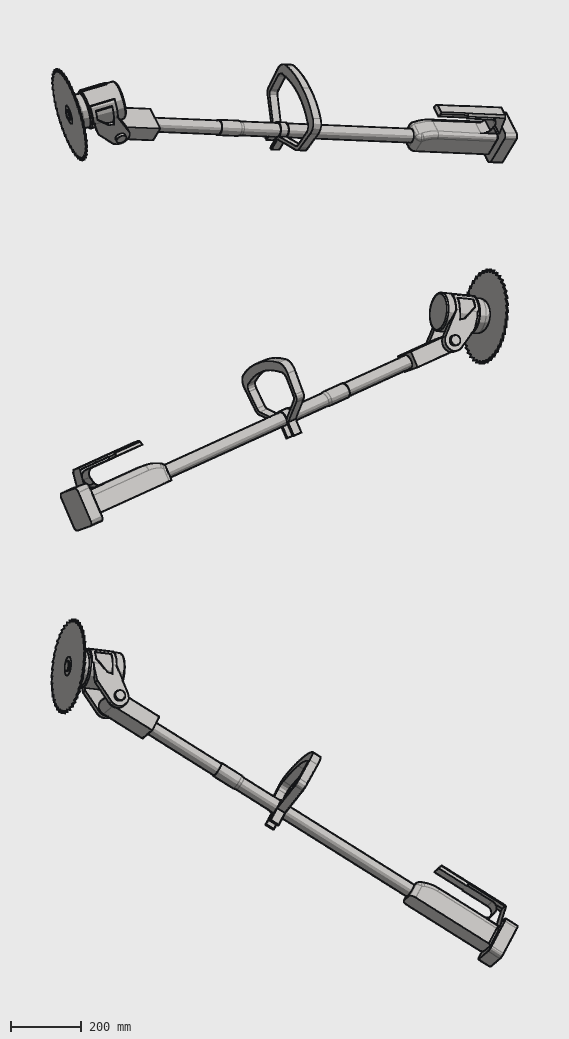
import cadquery as cq
import math


POLE_SLOPE = 26.6
POLE_DROP = 3.0

POLE_DIA = 40.0
POLE_FRONT = 133.0
POLE_BACK = 1010.0
COLLAR_DIA = 45.0
COLLAR_FRONT = 358.0
COLLAR_BACK = 433.0
COLLAR_TAPER = 10.0

NECK_WIDTH = 78.0
NECK_HEIGHT = 48.0
PIN_DIA = 30.0
PIN_LENGTH = 135.0
FORK_WIDTH = 116.0

SAW_AXIS_UP = 92.0
MOTOR_DIA = 110.0
MOTOR_REAR = -20.0
MOTOR_FRONT = 87.0
MOTOR_EDGE = 4.0
NOSE_DIA = 100.0
NOSE_ROUND = 23.0
PAD_REAR = 7.0
PAD_FRONT = 81.0
PAD_GAP = 59.0

BLADE_DIA = 269.0
BLADE_ROOT_DIA = 253.0
BLADE_REAR = 129.0
BLADE_THICK = 4.0
TOOTH_COUNT = 40
FLANGE_DIA = 54.0
SPINDLE_DIA = 30.0
SPINDLE_PROUD = 4.0

LOOP_FRONT = 557.0
LOOP_THICK = 27.0
LOOP_LEG_BOTTOM = -59.0
LOOP_CLAMP_WIDTH = 46.0
LOOP_LEG_GAP = 30.0

GRIP_BACK = 1281.0
GRIP_WIDTH = 70.0
GRIP_BOTTOM = -30.0
GRIP_TOP = 40.0
GRIP_ROUND = 16.0
NOSE_START = 1073.0
NOSE_TOP = 20.0
BACK_EDGE = 8.0

HOOK_WIDTH = 43.0
HOOK_TIP_WIDTH = 36.0
HOOK_TIP = 1048.0
HOOK_TIP_LEAN = 4.0
HOOK_STEP = 1144.0
HOOK_TOP = 110.0
HOOK_UNDER = 95.0
HOOK_LEAN = 12.0
HOOK_EDGE = 7.0
HOOK_TIP_EDGE = 4.0

BATTERY_LENGTH = 40.0
BATTERY_WIDTH = 102.0
BATTERY_BOTTOM = -52.0
BATTERY_TOP = 63.0
BATTERY_ROUND = 13.0


def tilted(body):
    """Swing a body built on the level pole frame down to the slope of the pole."""
    return body.rotate((0, 0, 0), (1, 0, 0), -POLE_SLOPE)


def side_profile(width):
    """Sketch plane at -width/2 in which x is back, y is up and extrusion runs to +X."""
    return cq.Workplane("YZ", origin=(-width / 2, 0, 0))


def lathe_along_pole(dia, front, back):
    """Cylinder on the pole axis between two distances back from the pivot."""
    return (
        cq.Workplane("XZ", origin=(0, front, -POLE_DROP))
        .circle(dia / 2)
        .extrude(front - back)
    )


def saw_disc(dia, rear, front):
    """Cylinder on the saw axis between two distances ahead of the pivot."""
    return (
        cq.Workplane("XZ", origin=(0, -rear, SAW_AXIS_UP))
        .circle(dia / 2)
        .extrude(front - rear)
    )


def make_pole():
    rod = lathe_along_pole(POLE_DIA, POLE_FRONT, POLE_BACK)
    collar = (
        cq.Workplane("XY", origin=(0, 0, -POLE_DROP))
        .moveTo(0, COLLAR_FRONT)
        .lineTo(COLLAR_DIA / 2, COLLAR_FRONT)
        .lineTo(COLLAR_DIA / 2, COLLAR_BACK - COLLAR_TAPER)
        .lineTo(POLE_DIA / 2, COLLAR_BACK)
        .lineTo(0, COLLAR_BACK)
        .close()
        .revolve(360, (0, 0, 0), (0, 1, 0))
    )
    return tilted(rod.union(collar))


def make_pin():
    return side_profile(PIN_LENGTH).circle(PIN_DIA / 2).extrude(PIN_LENGTH)


def make_neck():
    """Square bar with a rounded front end that turns on the pin."""
    half = NECK_HEIGHT / 2
    bar = (
        side_profile(NECK_WIDTH)
        .moveTo(POLE_FRONT, -POLE_DROP - half)
        .lineTo(POLE_FRONT, -POLE_DROP + half)
        .lineTo(0, -POLE_DROP + half)
        .threePointArc((-half, -POLE_DROP), (0, -POLE_DROP - half))
        .close()
        .extrude(NECK_WIDTH)
    )
    return tilted(bar).cut(make_pin())


def make_fork():
    """Two flat arms from the pin up to the widest line of the motor."""
    rear_top = (-8.0, SAW_AXIS_UP)
    front_top = (-77.0, SAW_AXIS_UP)
    front_side = (-75.0, SAW_AXIS_UP - 12.0)
    front_bend = (-66.0, SAW_AXIS_UP - 52.0)
    front_tangent = (-24.0, -17.0)
    rear_tangent = (27.0, 11.0)
    heel = (12.0, -27.0)
    arms = (
        side_profile(FORK_WIDTH)
        .polyline([rear_top, front_top, front_side, front_bend, front_tangent])
        .threePointArc(heel, rear_tangent)
        .close()
        .extrude(FORK_WIDTH)
    )
    reach = 3 * SAW_AXIS_UP
    gap = cq.Workplane("XY").box(NECK_WIDTH, reach, reach)
    return arms.cut(gap).cut(make_pin())


def make_pads():
    """Raised side panels on the upper half of the motor, flush with the fork arms."""
    ring = saw_disc(FORK_WIDTH, PAD_REAR, PAD_FRONT)
    upper = cq.Workplane("XY", origin=(0, 0, SAW_AXIS_UP)).box(
        FORK_WIDTH, 4 * PAD_FRONT, FORK_WIDTH, centered=(True, True, False)
    )
    strip = cq.Workplane("XY", origin=(0, 0, SAW_AXIS_UP)).box(
        PAD_GAP, 4 * PAD_FRONT, 2 * FORK_WIDTH
    )
    return ring.intersect(upper).cut(strip)


def make_motor_head():
    """Motor barrel, nose and spindle in one piece with the pads and fork arms."""
    barrel = saw_disc(MOTOR_DIA, MOTOR_REAR, MOTOR_FRONT).edges().chamfer(MOTOR_EDGE)
    nose = saw_disc(NOSE_DIA, MOTOR_FRONT, BLADE_REAR).faces("<Y").edges().fillet(NOSE_ROUND)
    blade_front = BLADE_REAR + BLADE_THICK
    flange = saw_disc(FLANGE_DIA, BLADE_REAR, blade_front)
    spindle = saw_disc(SPINDLE_DIA, blade_front, blade_front + SPINDLE_PROUD)
    shell = make_fork().union(make_pads())
    window_corners = [(-19.0, 36.0), (-69.0, 36.0), (-69.0, 12.0), (-59.0, 3.0), (-35.0, -24.0), (-19.0, -28.0)]
    window = (
        cq.Workplane("YZ", origin=(-PIN_LENGTH / 2, 0, SAW_AXIS_UP))
        .polyline(window_corners)
        .close()
        .extrude(PIN_LENGTH)
    )
    return shell.cut(window).union(barrel).union(nose).union(flange).union(spindle)


def make_blade():
    """Saw disc whose teeth each rise steeply and slope back to the next root."""
    pitch = 2 * math.pi / TOOTH_COUNT
    points = []
    for tooth in range(TOOTH_COUNT):
        angle = (tooth + 0.5) * pitch
        for radius in (BLADE_ROOT_DIA / 2, BLADE_DIA / 2):
            points.append((radius * math.sin(angle), radius * math.cos(angle)))
    return (
        cq.Workplane("XZ", origin=(0, -BLADE_REAR, SAW_AXIS_UP))
        .polyline(points)
        .close()
        .circle(FLANGE_DIA / 2)
        .extrude(BLADE_THICK)
    )


def make_loop_handle():
    """Closed loop across the pole with a clamp ring and two legs below it."""
    plane = cq.Workplane("XZ", origin=(0, LOOP_FRONT, 0))
    outer = (
        plane.moveTo(0, 170.0)
        .threePointArc((54.0, 165.0), (104.0, 152.0))
        .threePointArc((122.0, 137.0), (128.0, 115.0))
        .lineTo(121.0, 51.0)
        .threePointArc((118.0, 38.0), (110.0, 30.0))
        .lineTo(0, -30.0)
        .close()
        .extrude(-LOOP_THICK)
    )
    inner = (
        plane.moveTo(0, 143.0)
        .threePointArc((51.0, 137.0), (94.0, 124.0))
        .threePointArc((108.0, 116.0), (112.0, 102.0))
        .lineTo(108.0, 50.0)
        .threePointArc((106.0, 43.0), (102.0, 38.0))
        .lineTo(0, -19.0)
        .close()
        .extrude(-LOOP_THICK)
    )
    half = outer.cut(inner)
    ring = lathe_along_pole(LOOP_CLAMP_WIDTH, LOOP_FRONT, LOOP_FRONT + LOOP_THICK)
    leg_height = -LOOP_LEG_BOTTOM - POLE_DROP
    leg_base = cq.Workplane("XY", origin=(0, LOOP_FRONT, LOOP_LEG_BOTTOM))
    legs = leg_base.box(LOOP_CLAMP_WIDTH, LOOP_THICK, leg_height, centered=(True, False, False))
    slot = leg_base.box(LOOP_LEG_GAP, LOOP_THICK, leg_height, centered=(True, False, False))
    handle = half.union(half.mirror("YZ")).union(ring).union(legs)
    bore = lathe_along_pole(POLE_DIA, POLE_FRONT, POLE_BACK)
    return tilted(handle.cut(slot).cut(bore))


def make_hook():
    """Post and bar that curl forward over the grip."""
    post_top = GRIP_BACK - HOOK_LEAN
    root = (
        side_profile(HOOK_WIDTH)
        .moveTo(GRIP_BACK, GRIP_TOP)
        .lineTo(post_top, HOOK_TOP)
        .lineTo(HOOK_STEP, HOOK_TOP)
        .lineTo(HOOK_STEP, HOOK_UNDER)
        .lineTo(1227.0, HOOK_UNDER)
        .threePointArc((1244.0, 90.0), (1250.0, 74.0))
        .lineTo(1245.0, 52.0)
        .threePointArc((1237.0, 45.0), (1218.0, GRIP_TOP))
        .close()
        .extrude(HOOK_WIDTH)
        .edges("|Y").edges(">Z").chamfer(HOOK_EDGE)
    )
    bar = (
        side_profile(HOOK_TIP_WIDTH)
        .moveTo(HOOK_STEP, HOOK_UNDER)
        .lineTo(HOOK_STEP, HOOK_TOP)
        .lineTo(HOOK_TIP + HOOK_TIP_LEAN, HOOK_TOP)
        .lineTo(HOOK_TIP, HOOK_UNDER)
        .close()
        .extrude(HOOK_TIP_WIDTH)
        .faces(">Z").edges("|Y").chamfer(HOOK_TIP_EDGE)
    )
    return root.union(bar)


def make_grip():
    """Grip with a rounded top that curves down to the pole, joined to its hook."""
    drop = GRIP_TOP - NOSE_TOP
    run = NOSE_START - POLE_BACK
    radius = (run ** 2 + drop ** 2) / (2 * drop)
    mid = run / 2
    nose_mid = (NOSE_START - mid, GRIP_TOP - radius + math.sqrt(radius ** 2 - mid ** 2))
    body = (
        side_profile(GRIP_WIDTH)
        .moveTo(GRIP_BACK, GRIP_BOTTOM)
        .lineTo(GRIP_BACK, GRIP_TOP)
        .lineTo(NOSE_START, GRIP_TOP)
        .threePointArc(nose_mid, (POLE_BACK, NOSE_TOP))
        .lineTo(POLE_BACK, GRIP_BOTTOM)
        .close()
        .extrude(GRIP_WIDTH)
    )
    body = body.faces("<Y").edges("|Z").fillet(GRIP_ROUND)
    top_edges = cq.selectors.BoxSelector((-121, 1030.0, 0), (121, 1265, 121), boundingbox=False)
    body = body.edges("not(|X or |Z)").edges(top_edges).edges(">X or <X").fillet(GRIP_ROUND)
    body = body.faces(">Y").edges("|Z").chamfer(BACK_EDGE)
    return tilted(body.union(make_hook()))


def make_battery():
    return tilted(
        cq.Workplane("XY", origin=(0, GRIP_BACK, BATTERY_BOTTOM))
        .box(BATTERY_WIDTH, BATTERY_LENGTH, BATTERY_TOP - BATTERY_BOTTOM, centered=(True, False, False))
        .edges("|Y")
        .fillet(BATTERY_ROUND)
    )


pole = make_pole()
neck = make_neck()
pin = make_pin()
motor_head = make_motor_head()
blade = make_blade()
loop_handle = make_loop_handle()
grip = make_grip()
battery = make_battery()

result = cq.Compound.makeCompound([
    pole.val(),
    neck.val(),
    pin.val(),
    motor_head.val(),
    blade.val(),
    loop_handle.val(),
    grip.val(),
    battery.val(),
])